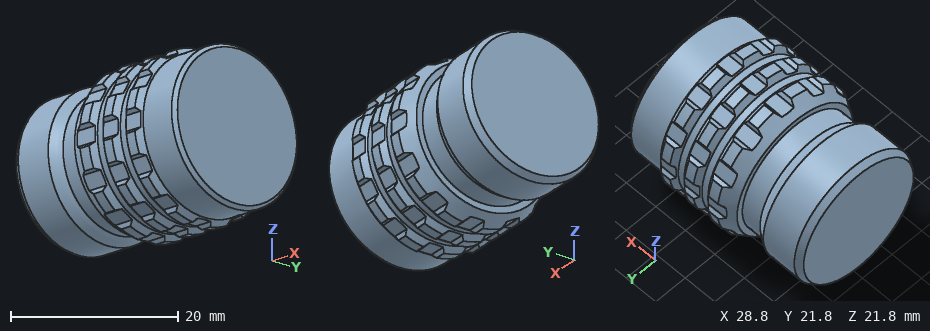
import cadquery as cq

total_length = 28.8
plug_chamfer_end = 1.0
plug_rear = 6.25
shoulder_step = 7.3
neck_start = 7.8
sleeve_start = 10.8
sleeve_chamfer = 0.5

plug_radius = 9.9
plug_edge_radius = 9.3
neck_radius = 8.9
sleeve_radius = 10.25
sleeve_front_radius = 9.8
rib_radius = 11.0

first_crest_start = 12.93
first_crest_end = 14.53
plain_crest_starts = (17.05, 21.05)
plain_crest_width = 1.5
flank = rib_radius - sleeve_radius

notch_count = 12
notch_floor = 10.43
notch_floor_half_width = 1.0
cutter_clearance = 0.5
notch_top = rib_radius + cutter_clearance
notch_top_half_width = notch_floor_half_width + notch_top - notch_floor


def turned_body():
    """Revolve the stepped half section about the X axis, starting on the -Y side."""
    section = [
        (0, 0),
        (0, plug_edge_radius),
        (plug_chamfer_end, plug_radius),
        (plug_rear, plug_radius),
        (shoulder_step, plug_edge_radius),
        (neck_start, neck_radius),
        (sleeve_start, neck_radius),
        (sleeve_start, sleeve_front_radius),
        (first_crest_start, rib_radius),
        (first_crest_end, rib_radius),
        (first_crest_end + flank, sleeve_radius),
    ]
    for crest_start in plain_crest_starts:
        crest_end = crest_start + plain_crest_width
        section += [
            (crest_start - flank, sleeve_radius),
            (crest_start, rib_radius),
            (crest_end, rib_radius),
            (crest_end + flank, sleeve_radius),
        ]
    section += [
        (total_length - sleeve_chamfer, sleeve_radius),
        (total_length, sleeve_radius - sleeve_chamfer),
        (total_length, 0),
    ]
    outline = [(x, -radius) for x, radius in section]
    return cq.Workplane("XY").polyline(outline).close().revolve(360, (0, 0, 0), (1, 0, 0))


def notch_cutter():
    """Trapezoidal bar at the top of the part, spanning all of the ribs."""
    return (
        cq.Workplane("YZ", origin=(sleeve_start, 0, 0))
        .moveTo(-notch_floor_half_width, notch_floor)
        .lineTo(notch_floor_half_width, notch_floor)
        .lineTo(notch_top_half_width, notch_top)
        .lineTo(-notch_top_half_width, notch_top)
        .close()
        .extrude(total_length - sleeve_start)
    )


def cut_notches(body):
    cutter = notch_cutter()
    for index in range(notch_count):
        angle = index * 360 / notch_count
        body = body.cut(cutter.rotate((0, 0, 0), (1, 0, 0), angle))
    return body


result = cut_notches(turned_body())